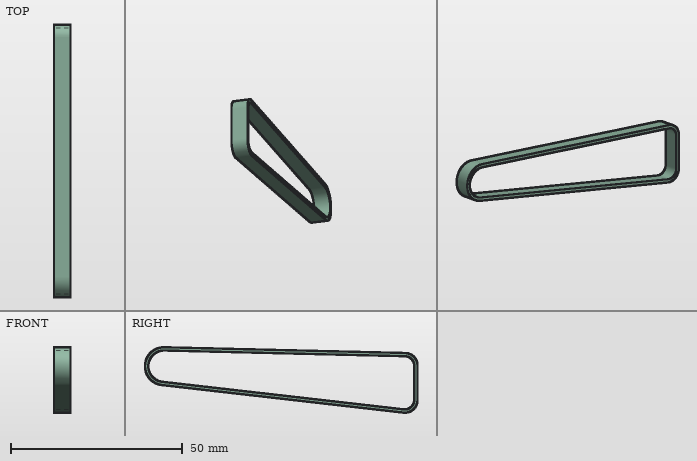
import cadquery as cq
import math

length = 79.3
height = 19.1
width = 4.9
thickness = 1.0
nose_radius = 5.55
corner_radius = 3.7

nose = (-length / 2 + nose_radius, height / 2 - nose_radius)
blunt_y = length / 2 - corner_radius
lower_corner = (blunt_y, -height / 2 + corner_radius)
corner_spacing = 10.0
upper_corner = (blunt_y, lower_corner[1] + corner_spacing)


def point_on(center, radius, angle):
    return (center[0] + radius * math.cos(angle), center[1] + radius * math.sin(angle))


def tangent_normal(start, start_radius, end, end_radius):
    """Angle of the outward normal of the tangent running counterclockwise from start to end."""
    dy = end[0] - start[0]
    dz = end[1] - start[1]
    offset = math.acos((start_radius - end_radius) / math.hypot(dy, dz))
    return math.atan2(dz, dy) - offset


def belt_loop(inset):
    """Solid bounded by the belt outline, moved inward by inset."""
    rounds = [
        (lower_corner, corner_radius - inset),
        (upper_corner, corner_radius - inset),
        (nose, nose_radius - inset),
    ]
    normals = []
    for i, (center, radius) in enumerate(rounds):
        next_center, next_radius = rounds[(i + 1) % len(rounds)]
        normals.append(tangent_normal(center, radius, next_center, next_radius))

    center, radius = rounds[-1]
    outline = cq.Workplane("YZ").moveTo(*point_on(center, radius, normals[-1]))
    for i, (center, radius) in enumerate(rounds):
        start_angle = normals[i - 1]
        sweep = (normals[i] - start_angle) % math.tau
        middle = point_on(center, radius, start_angle + sweep / 2)
        end = point_on(center, radius, normals[i])
        outline = outline.lineTo(*point_on(center, radius, start_angle)).threePointArc(middle, end)
    return outline.close().extrude(width / 2, both=True)


result = belt_loop(0).cut(belt_loop(thickness))